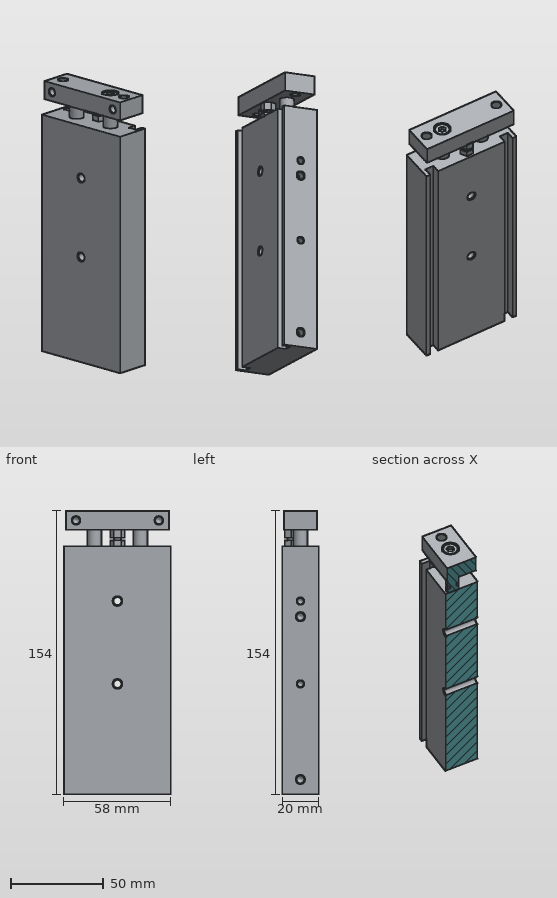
import cadquery as cq
import math


total_height = 154.0
housing_width = 58.0
housing_depth = 20.0
housing_height = 134.9
plate_width = 56.0
plate_depth = 18.0
plate_height = 10.3
plate_bottom = total_height - plate_height
plate_middle = total_height - plate_height / 2

mount_heights = (105.0, 60.0)
mount_diameter = 4.3
mount_mouth = 5.4
dowel_diameter = 3.4
dowel_mouth = 4.2
dowel_depth = 5.4

port_heights = (96.5, 8.2)
port_diameter = 4.2
port_mouth = 5.1
port_depth = 5.4

slot_offset = 24.0
slot_width = 5.1
slot_depth = 5.0

rod_offset = 12.5
rod_diameter = 7.9

plate_hole_offset = 22.5
clearance_diameter = 5.1
clearance_mouth = 5.7
tapped_diameter = 4.0
tapped_mouth = 4.8
tapped_depth = 3.8

counterbore_diameter = 9.4
screw_top_diameter = 7.7
screw_sink = 0.3
screw_bevel = 0.8
socket_across_corners = 4.3
socket_depth = 2.0

bolt_y = 5.1
bolt_across_corners = 8.0
bolt_neck_diameter = 4.0
nut_bottom = 139.4
stop_top = 138.0

drill_point_angle = 118.0


def turned_cutter(points, origin, direction):
    """Revolve a (radius, depth) outline about the line through origin along direction."""
    x_dir = cq.Vector(0, 0, 1).cross(cq.Vector(*direction))
    if x_dir.Length == 0:
        x_dir = cq.Vector(1, 0, 0)
    normal = x_dir.cross(cq.Vector(*direction))
    plane = cq.Plane(origin=origin, xDir=x_dir, normal=normal)
    return cq.Workplane(plane).polyline(points).close().revolve(360, (0, 0, 0), (0, 1, 0))


def drilled_hole(origin, direction, diameter, mouth, depth):
    """Blind hole with a 45 degree chamfer at the mouth and a conical drill point."""
    radius = diameter / 2
    mouth_radius = mouth / 2
    tip_length = radius / math.tan(math.radians(drill_point_angle / 2))
    outline = [
        (0, 0),
        (mouth_radius, 0),
        (radius, mouth_radius - radius),
        (radius, depth),
        (0, depth + tip_length),
    ]
    return turned_cutter(outline, origin, direction)


def through_hole(origin, direction, diameter, mouth, length):
    """Through hole with a 45 degree chamfer at both ends."""
    radius = diameter / 2
    mouth_radius = mouth / 2
    chamfer = mouth_radius - radius
    outline = [
        (0, 0),
        (mouth_radius, 0),
        (radius, chamfer),
        (radius, length - chamfer),
        (mouth_radius, length),
        (0, length),
    ]
    return turned_cutter(outline, origin, direction)


def hex_prism(x, y, bottom, height, across_corners):
    """Hexagonal prism with two corners on the X direction."""
    base = cq.Workplane("XY", origin=(x, y, bottom))
    return base.polygon(6, across_corners).extrude(height)


def cylinder(x, y, bottom, height, diameter):
    return cq.Workplane("XY", origin=(x, y, bottom)).circle(diameter / 2).extrude(height)


def make_housing():
    body = cq.Workplane("XY").box(
        housing_width, housing_depth, housing_height, centered=(True, True, False)
    )

    for side in (-1, 1):
        slot = cq.Workplane("XY").box(
            slot_width, slot_depth, housing_height, centered=(True, False, False)
        )
        body = body.cut(slot.translate((side * slot_offset, housing_depth / 2 - slot_depth, 0)))

    side_face = -housing_width / 2
    inward = (1, 0, 0)
    for height in mount_heights:
        front_point = (0, -housing_depth / 2, height)
        body = body.cut(
            through_hole(front_point, (0, 1, 0), mount_diameter, mount_mouth, housing_depth)
        )
        body = body.cut(
            drilled_hole((side_face, 0, height), inward, dowel_diameter, dowel_mouth, dowel_depth)
        )
    for height in port_heights:
        body = body.cut(
            drilled_hole((side_face, 0, height), inward, port_diameter, port_mouth, port_depth)
        )
    return body


def make_end_plate():
    plate = cq.Workplane("XY", origin=(0, 0, plate_bottom)).box(
        plate_width, plate_depth, plate_height, centered=(True, True, False)
    )
    for side in (-1, 1):
        x = side * plate_hole_offset
        top_point = (x, 0, total_height)
        plate = plate.cut(
            through_hole(top_point, (0, 0, -1), clearance_diameter, clearance_mouth, plate_height)
        )
        front_point = (x, -plate_depth / 2, plate_middle)
        plate = plate.cut(
            drilled_hole(front_point, (0, 1, 0), tapped_diameter, tapped_mouth, tapped_depth)
        )
    return plate


def make_screw_recess():
    """Material removed around and inside the bevelled screw head: counterbore and hexagon socket."""
    wall_radius = counterbore_diameter / 2
    outline = [
        (0, 0),
        (wall_radius, 0),
        (wall_radius, screw_sink + screw_bevel),
        (screw_top_diameter / 2, screw_sink),
        (0, screw_sink),
    ]
    recess = turned_cutter(outline, (rod_offset, 0, total_height), (0, 0, -1))
    depth = screw_sink + socket_depth
    socket = hex_prism(rod_offset, 0, total_height - depth, depth, socket_across_corners)
    return recess.union(socket)


def make_stop_bolt():
    """Nut under the plate, a thin neck, and a hexagonal stop resting on the housing."""
    nut = hex_prism(0, bolt_y, nut_bottom, plate_bottom - nut_bottom, bolt_across_corners)
    neck = cylinder(0, bolt_y, stop_top, nut_bottom - stop_top, bolt_neck_diameter)
    stop = hex_prism(0, bolt_y, housing_height, stop_top - housing_height, bolt_across_corners)
    return nut.union(neck).union(stop)


def make_carriage():
    carriage = make_end_plate().cut(make_screw_recess())
    for side in (-1, 1):
        rod = cylinder(
            side * rod_offset, 0, housing_height, plate_bottom - housing_height, rod_diameter
        )
        carriage = carriage.union(rod)
    return carriage.union(make_stop_bolt())


housing = make_housing()
carriage = make_carriage()
result = cq.Compound.makeCompound([housing.val(), carriage.val()])